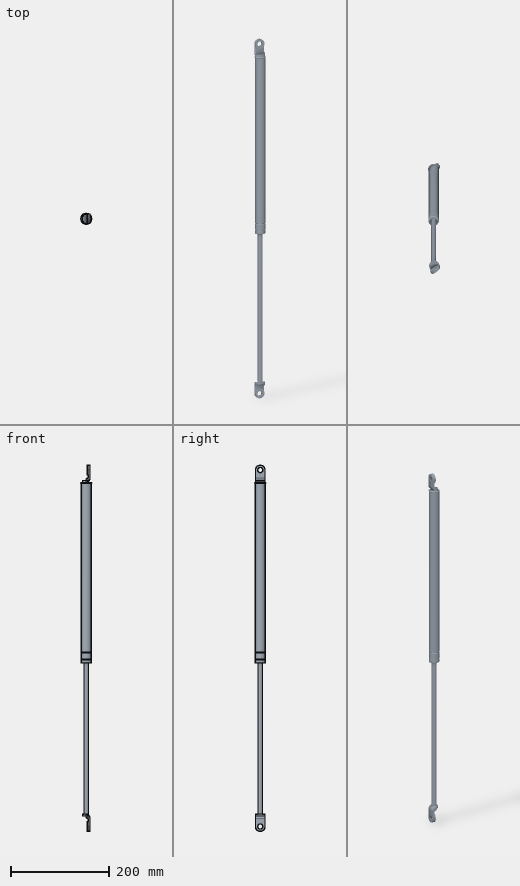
import cadquery as cq

overall_length = 745.0
eye_radius = 10.0
eye_hole_radius = 5.0
bush_length = 2.5

plate_thickness = 4.0
plate_inner_x = 4.0
plate_outer_x = plate_inner_x + plate_thickness
foot_face_offset = 35.0
foot_inner_z = foot_face_offset - plate_thickness
foot_tip_x = -7.8
bend_outer_radius = 9.0
bend_start_x = plate_outer_x - bend_outer_radius
web_radius = plate_inner_x - bend_start_x
web_width = 1.0

rod_radius = 5.0

cylinder_radius = 10.5
cylinder_bottom_z = 342.3
cylinder_top_z = overall_length - foot_face_offset
bottom_fillet = 1.5
groove_radius = 1.0
groove_heights = (350.0, 363.5)
bead_radius = 1.25
bead_outer_radius = 11.25
bead_center_radius = bead_outer_radius - bead_radius
bead_center_z = cylinder_top_z - bead_radius


def round_bar(radius, start_z, end_z):
    """Round bar along the Z axis."""
    return cq.Workplane("XY", origin=(0, 0, start_z)).circle(radius).extrude(end_z - start_z)


def torus_around_axis(major_radius, minor_radius, height):
    """Full torus around the Z axis at the given height."""
    center = cq.Vector(0, 0, height)
    axis = cq.Vector(0, 0, 1)
    return cq.Workplane(obj=cq.Solid.makeTorus(major_radius, minor_radius, center, axis))


def make_cylinder():
    """Pressure cylinder with rolled grooves, a rounded rod end and a bead at the closed end."""
    body = round_bar(cylinder_radius, cylinder_bottom_z, bead_center_z)
    body = body.faces("<Z").edges().fillet(bottom_fillet)
    for height in groove_heights:
        body = body.cut(torus_around_axis(cylinder_radius, groove_radius, height))
    end_wall = round_bar(bead_center_radius, bead_center_z, cylinder_top_z)
    bead = torus_around_axis(bead_center_radius, bead_radius, bead_center_z)
    return body.union(end_wall).union(bead)


def make_rod():
    """Piston rod from the lower bracket foot to the rod end of the cylinder."""
    return round_bar(rod_radius, foot_face_offset, cylinder_bottom_z)


def bent_strip():
    """Full-width strip: foot, bend with a round outside and a sharp inside, and eye plate."""
    return (
        cq.Workplane("XZ", origin=(0, eye_radius, 0))
        .moveTo(foot_tip_x, foot_face_offset)
        .lineTo(bend_start_x, foot_face_offset)
        .radiusArc((plate_outer_x, foot_face_offset - bend_outer_radius), bend_outer_radius)
        .lineTo(plate_outer_x, 0)
        .lineTo(plate_inner_x, 0)
        .lineTo(plate_inner_x, foot_inner_z)
        .lineTo(foot_tip_x, foot_inner_z)
        .close()
        .extrude(2 * eye_radius)
    )


def eye_outline():
    """Block with the eye's round end, running the whole depth of the bracket along X."""
    return (
        cq.Workplane("YZ", origin=(foot_tip_x, 0, 0))
        .moveTo(-eye_radius, foot_face_offset)
        .lineTo(-eye_radius, eye_radius)
        .threePointArc((0, 0), (eye_radius, eye_radius))
        .lineTo(eye_radius, foot_face_offset)
        .close()
        .extrude(plate_outer_x - foot_tip_x)
    )


def foot_outline():
    """Block with the foot's rounded tip, running the whole height of the bracket."""
    return (
        cq.Workplane("XY")
        .moveTo(plate_outer_x, -eye_radius)
        .lineTo(plate_outer_x, eye_radius)
        .lineTo(bend_start_x, eye_radius)
        .threePointArc((foot_tip_x, 0), (bend_start_x, -eye_radius))
        .close()
        .extrude(foot_face_offset)
    )


def edge_web(outer_y):
    """Quarter-round web filling the inside of the bend, from outer_y towards -Y."""
    return (
        cq.Workplane("XZ", origin=(0, outer_y, 0))
        .moveTo(plate_inner_x, foot_inner_z)
        .lineTo(bend_start_x, foot_inner_z)
        .radiusArc((plate_inner_x, foot_inner_z - web_radius), -web_radius)
        .close()
        .extrude(web_width)
    )


def make_bracket():
    """Lower end bracket with its eye hole."""
    bracket = bent_strip().intersect(eye_outline()).intersect(foot_outline())
    for outer_y in (eye_radius, web_width - eye_radius):
        bracket = bracket.union(edge_web(outer_y))
    hole = (
        cq.Workplane("YZ", origin=(0, 0, eye_radius))
        .circle(eye_hole_radius)
        .extrude(plate_outer_x)
    )
    return bracket.cut(hole)


def make_bush():
    """Spacer ring lying against the inner face of the lower eye."""
    return (
        cq.Workplane("YZ", origin=(plate_inner_x - bush_length, 0, eye_radius))
        .circle(eye_radius)
        .circle(eye_hole_radius)
        .extrude(bush_length)
    )


cylinder = make_cylinder()
rod = make_rod()
end_parts = []
for lower_part in (make_bracket(), make_bush()):
    upper_part = lower_part.mirror("XY", (0, 0, overall_length / 2))
    end_parts += [lower_part.val(), upper_part.val()]

result = cq.Compound.makeCompound([cylinder.val(), rod.val(), *end_parts])